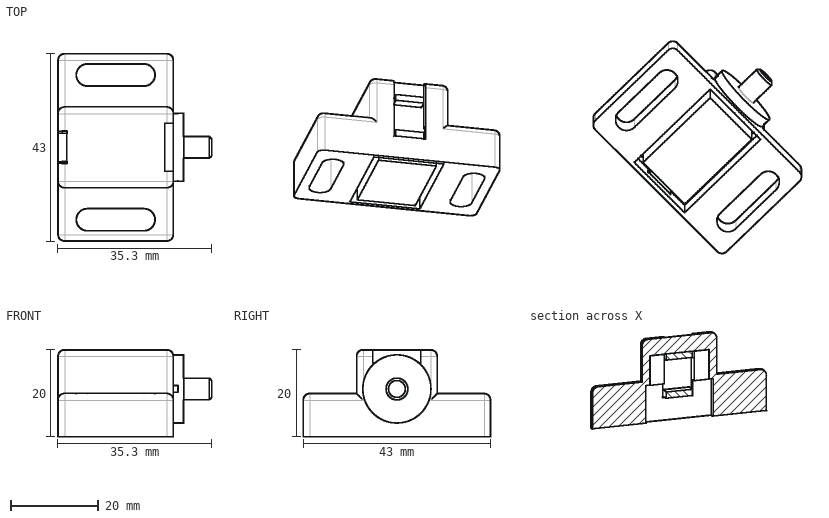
import cadquery as cq

base_length = 26.5
base_width = 43.0
base_height = 9.98
block_width = 18.55
total_height = 20.0
edge_radius = 1.5

slot_length = 18.0
slot_width = 5.05
slot_offset = 16.6

block_wall = 2.0
skirt_wall = 1.05
skirt_ceiling = base_height - skirt_wall
cavity_ceiling = 15.95
cavity_length = base_length - 2 * block_wall
cavity_width = block_width - 2 * block_wall
skirt_cavity_length = base_length - 2 * skirt_wall
skirt_cavity_width = block_width - 2 * skirt_wall

latch_window_width = 7.4
latch_window_sill = 5.4
cable_notch_width = 11.05
cable_notch_floor = cavity_ceiling + skirt_wall

clearance = 0.45
insert_start = block_wall + clearance
insert_length = cavity_length - 2 * clearance
insert_width = cavity_width - 2 * clearance
tab_width = latch_window_width - 2 * clearance
upper_tab_height = 1.45
lower_tab_height = 1.6

gland_diameter = 15.65
gland_thickness = 2.32
gland_height = 11.0
groove_depth = 1.05
groove_width = 1.5
total_length = 35.3
cable_diameter = 5.0
cable_length = total_length - base_length - gland_thickness
cable_tip_chamfer = 0.55
cable_root_radius = 0.15


def box_from(x_start, z_start, length, width, height):
    """Box centred on Y = 0 that starts at the given X and Z."""
    return (
        cq.Workplane("XY", origin=(x_start, 0, z_start))
        .box(length, width, height, centered=(False, True, False))
    )


def rounded_block(width, height):
    """Full-length block with rounded upright and top edges and a sharp foot."""
    block = box_from(0, 0, base_length, width, height)
    return block.edges("|Z or >Z").fillet(edge_radius)


def mounting_slots():
    return (
        cq.Workplane("XY")
        .pushPoints([(base_length / 2, side * slot_offset) for side in (-1, 1)])
        .slot2D(slot_length, slot_width)
        .extrude(base_height)
    )


def housing_cavity():
    """Pocket inside the block that widens by one step inside the base."""
    upper = box_from(block_wall, 0, cavity_length, cavity_width, cavity_ceiling)
    skirt = box_from(skirt_wall, 0, skirt_cavity_length, skirt_cavity_width, skirt_ceiling)
    return upper.union(skirt)


def latch_window():
    window_height = total_height - latch_window_sill
    return box_from(0, latch_window_sill, block_wall, latch_window_width, window_height)


def cable_notch():
    notch_height = total_height - cable_notch_floor
    return box_from(base_length - block_wall, cable_notch_floor, block_wall, cable_notch_width, notch_height)


def make_housing():
    base = rounded_block(base_width, base_height)
    block = rounded_block(block_width, total_height)
    return (
        base.union(block)
        .cut(mounting_slots())
        .cut(housing_cavity())
        .cut(latch_window())
        .cut(cable_notch())
    )


def make_insert():
    """Core that fills the cavity and reaches into the latch window with two tabs."""
    core = box_from(insert_start, 0, insert_length, insert_width, cavity_ceiling)
    upper_tab_start = cavity_ceiling - upper_tab_height
    upper_tab = box_from(0, upper_tab_start, insert_start, tab_width, upper_tab_height)
    lower_tab = box_from(0, latch_window_sill, insert_start, tab_width, lower_tab_height)
    return core.union(upper_tab).union(lower_tab)


def make_cable_gland():
    """Disc against the housing with a groove across its back and the cable at its front."""
    disc = (
        cq.Workplane("YZ", origin=(base_length, 0, gland_height))
        .circle(gland_diameter / 2)
        .extrude(gland_thickness)
    )
    cable_root = base_length + gland_thickness
    cable = (
        cq.Workplane("YZ", origin=(cable_root, 0, gland_height))
        .circle(cable_diameter / 2)
        .extrude(cable_length)
        .faces(">X").edges().chamfer(cable_tip_chamfer)
    )
    reach = cable_root_radius
    front_circles = cq.selectors.BoxSelector(
        (cable_root - reach, -reach, gland_height - reach),
        (cable_root + reach, reach, gland_height + reach),
    )
    root_circle = cq.selectors.RadiusNthSelector(0)
    gland = disc.union(cable).edges(front_circles).edges(root_circle).fillet(cable_root_radius)
    groove_start = gland_height - groove_width / 2
    groove = box_from(base_length, groove_start, groove_depth, gland_diameter, groove_width)
    return gland.cut(groove)


housing = make_housing()
insert = make_insert()
cable_gland = make_cable_gland()

result = cq.Compound.makeCompound([housing.val(), insert.val(), cable_gland.val()])